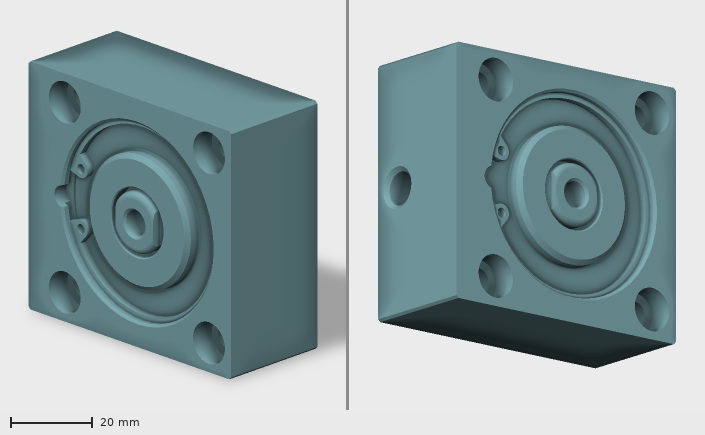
import cadquery as cq
import math

WIDTH = 70.0
HEIGHT = 65.0
TOTAL_DEPTH = 31.0
ROD_PROTRUSION = 1.0
DEPTH = TOTAL_DEPTH - ROD_PROTRUSION
CORNER_CHAMFER = 0.6
BORE_X = 2.45

HOLE_OFFSET = 24.9
HOLE_DIAMETER = 6.5
COUNTERBORE_DIAMETER = 11.0
COUNTERBORE_DEPTH = 6.5

RECESS_RADIUS = 25.9
RECESS_DEPTH = 4.05
RECESS_CHAMFER = 0.6
FLOOR_GROOVE = 0.55
BOSS_RADIUS = 17.5
BOSS_CHAMFER = 1.2
BOSS_FILLET = 0.4
NOTCH_RADIUS = 2.9
NOTCH_OFFSET = 25.6

RING_THICKNESS = 2.0
RING_INNER_RADIUS = 24.65
RING_OUTER_RADIUS = 27.15
EAR_X = -21.35
EAR_Z = 7.85
EAR_RADIUS = 2.3
EAR_HOLE_DIAMETER = 2.5
EAR_ARC_ANGLE = math.radians(-20)
EAR_CORNER_Z = 11.7
RING_END_Z = 7.0

ROD_RADIUS = 16.0 / 2
ROD_END_DEPTH = 26.7
ROD_ROUNDING = 1.6
ROD_FLAT_OFFSET = 6.5
ROD_FLAT_DEPTH = 1.4
ROD_HOLE_DIAMETER = 6.65
ROD_HOLE_CHAMFER = 0.6
ROD_HOLE_LENGTH = 14.0
SEAT_MOUTH_RADIUS = 18.5 / 2
SEAT_CHAMFER = 0.3
SEAT_DEPTH = 3.15

PORT_DIAMETER = 8.55
PORT_MOUTH_DIAMETER = 10.7
PORT_CHAMFER = (PORT_MOUTH_DIAMETER - PORT_DIAMETER) / 2
PORT_TO_BACK = 7.35
PORT_DEPTH = 9.8
PASSAGE_DIAMETER = 3.0
PASSAGE_TO_BACK = 4.9


def plane_at(depth):
    """XZ plane centred on the cylinder axis; a positive extrusion goes towards the front."""
    return cq.Workplane("XZ", origin=(BORE_X, depth, 0))


def revolve_profile(points):
    """Turn an outline of (radius, depth) points about the cylinder axis."""
    profile = cq.Workplane("XY", origin=(BORE_X, 0, 0)).polyline(points).close()
    return profile.revolve(360, (0, 0), (0, 1))


def make_recess():
    """Annular space around the boss, with its chamfers, floor groove and boss fillet."""
    fillet_top = RECESS_DEPTH - BOSS_FILLET
    fillet_outer = BOSS_RADIUS + BOSS_FILLET
    fillet_bulge = BOSS_FILLET * (1 - math.sqrt(0.5))
    profile = (
        cq.Workplane("XY", origin=(BORE_X, 0, 0))
        .moveTo(BOSS_RADIUS - BOSS_CHAMFER, 0)
        .lineTo(BOSS_RADIUS, BOSS_CHAMFER)
        .lineTo(BOSS_RADIUS, fillet_top)
        .threePointArc(
            (BOSS_RADIUS + fillet_bulge, RECESS_DEPTH - fillet_bulge),
            (fillet_outer, RECESS_DEPTH),
        )
        .lineTo(RECESS_RADIUS - FLOOR_GROOVE, RECESS_DEPTH)
        .lineTo(RECESS_RADIUS, RECESS_DEPTH + FLOOR_GROOVE)
        .lineTo(RECESS_RADIUS, RECESS_CHAMFER)
        .lineTo(RECESS_RADIUS + RECESS_CHAMFER, 0)
        .close()
    )
    recess = profile.revolve(360, (0, 0), (0, 1))
    ring_groove = plane_at(RECESS_DEPTH).circle(RING_OUTER_RADIUS).circle(RING_INNER_RADIUS)
    notch = plane_at(RECESS_DEPTH).center(-NOTCH_OFFSET, 0).circle(NOTCH_RADIUS).extrude(RECESS_DEPTH)
    return recess.union(ring_groove.extrude(RING_THICKNESS)).union(notch)


def make_rod_bore():
    seat_radius = SEAT_MOUTH_RADIUS - SEAT_CHAMFER
    return revolve_profile([
        (0, 0),
        (SEAT_MOUTH_RADIUS, 0),
        (seat_radius, SEAT_CHAMFER),
        (seat_radius, SEAT_DEPTH),
        (ROD_RADIUS, SEAT_DEPTH),
        (ROD_RADIUS, ROD_END_DEPTH),
        (0, ROD_END_DEPTH),
    ])


def make_port():
    """Chamfered port in the -X side, with an off-centre passage to the rod bore."""
    side = -WIDTH / 2
    half_mouth = PORT_MOUTH_DIAMETER / 2
    half_port = PORT_DIAMETER / 2
    port_y = DEPTH - PORT_TO_BACK
    port = (
        cq.Workplane("XY")
        .polyline([
            (side, port_y),
            (side, port_y + half_mouth),
            (side + PORT_CHAMFER, port_y + half_port),
            (side + PORT_DEPTH, port_y + half_port),
            (side + PORT_DEPTH, port_y),
        ])
        .close()
        .revolve(360, (side, port_y), (side + 0.7, port_y))
    )
    passage = (
        cq.Workplane("YZ", origin=(side, DEPTH - PASSAGE_TO_BACK, 0))
        .circle(PASSAGE_DIAMETER / 2)
        .extrude(BORE_X - side)
    )
    return port.union(passage)


def make_housing():
    block = (
        cq.Workplane("XY")
        .box(WIDTH, DEPTH, HEIGHT)
        .translate((0, DEPTH / 2, 0))
        .edges("|Y")
        .chamfer(CORNER_CHAMFER)
    )
    corners = [(x, z) for x in (-HOLE_OFFSET, HOLE_OFFSET) for z in (-HOLE_OFFSET, HOLE_OFFSET)]
    holes = plane_at(DEPTH).pushPoints(corners).circle(HOLE_DIAMETER / 2).extrude(DEPTH)
    counterbores = (
        plane_at(COUNTERBORE_DEPTH)
        .pushPoints(corners)
        .circle(COUNTERBORE_DIAMETER / 2)
        .extrude(COUNTERBORE_DEPTH)
    )
    housing = block.cut(holes).cut(counterbores)
    return housing.cut(make_recess()).cut(make_rod_bore()).cut(make_port())


def ear_tangent(point, side):
    """Point where a line from an outside point touches the ear; side is +1 or -1."""
    dx = point[0] - EAR_X
    dz = point[1] - EAR_Z
    angle = math.atan2(dz, dx) + side * math.acos(EAR_RADIUS / math.hypot(dx, dz))
    return (EAR_X + EAR_RADIUS * math.cos(angle), EAR_Z + EAR_RADIUS * math.sin(angle))


def make_retaining_ring():
    """Open ring with a holed ear at each end of its gap."""
    end = (-math.sqrt(RING_OUTER_RADIUS**2 - RING_END_Z**2), RING_END_Z)
    corner = (-math.sqrt(RING_INNER_RADIUS**2 - EAR_CORNER_Z**2), EAR_CORNER_Z)
    end_tangent = ear_tangent(end, 1)
    corner_tangent = ear_tangent(corner, -1)
    free_side = (
        EAR_X + EAR_RADIUS * math.cos(EAR_ARC_ANGLE),
        EAR_Z + EAR_RADIUS * math.sin(EAR_ARC_ANGLE),
    )
    base = plane_at(RECESS_DEPTH)
    ring = base.circle(RING_OUTER_RADIUS).circle(RING_INNER_RADIUS).extrude(RING_THICKNESS)
    slope = (end[1] - end_tangent[1]) / (end[0] - end_tangent[0])
    beyond = -RING_OUTER_RADIUS - EAR_RADIUS
    beyond_z = end[1] + slope * (beyond - end[0])
    gap = (
        base.polyline([
            end_tangent,
            (beyond, beyond_z),
            (beyond, -beyond_z),
            (end_tangent[0], -end_tangent[1]),
        ])
        .close()
        .extrude(RING_THICKNESS)
    )
    ear = (
        base.moveTo(*end)
        .lineTo(*end_tangent)
        .threePointArc(free_side, corner_tangent)
        .lineTo(*corner)
        .close()
        .extrude(RING_THICKNESS)
    )
    ring = ring.cut(gap).union(ear).union(ear.mirror("XY"))
    ear_holes = (
        base.pushPoints([(EAR_X, EAR_Z), (EAR_X, -EAR_Z)])
        .circle(EAR_HOLE_DIAMETER / 2)
        .extrude(RING_THICKNESS)
    )
    return ring.cut(ear_holes)


def make_rod():
    """Round rod with a rounded tip, two flats and a chamfered end hole."""
    length = ROD_END_DEPTH + ROD_PROTRUSION
    rod = plane_at(ROD_END_DEPTH).circle(ROD_RADIUS).extrude(length)
    rod = rod.faces("<Y").edges().fillet(ROD_ROUNDING)
    runout = ROD_RADIUS - ROD_FLAT_OFFSET
    flat_cutter = (
        cq.Workplane("XY", origin=(BORE_X, 0, -ROD_RADIUS))
        .polyline([
            (ROD_FLAT_OFFSET, -ROD_PROTRUSION),
            (ROD_FLAT_OFFSET, ROD_FLAT_DEPTH),
            (ROD_RADIUS, ROD_FLAT_DEPTH + runout),
            (ROD_RADIUS, -ROD_PROTRUSION),
        ])
        .close()
        .extrude(2 * ROD_RADIUS)
    )
    for turn in (0, 180):
        rod = rod.cut(flat_cutter.rotate((BORE_X, 0, 0), (BORE_X, 1, 0), turn))
    hole_radius = ROD_HOLE_DIAMETER / 2
    end_hole = revolve_profile([
        (0, -ROD_PROTRUSION),
        (hole_radius + ROD_HOLE_CHAMFER, -ROD_PROTRUSION),
        (hole_radius, ROD_HOLE_CHAMFER - ROD_PROTRUSION),
        (hole_radius, ROD_HOLE_LENGTH - ROD_PROTRUSION),
        (0, ROD_HOLE_LENGTH - ROD_PROTRUSION),
    ])
    return rod.cut(end_hole)


housing = make_housing()
retaining_ring = make_retaining_ring()
rod = make_rod()

result = cq.Compound.makeCompound([
    *housing.solids().vals(),
    *retaining_ring.solids().vals(),
    *rod.solids().vals(),
])